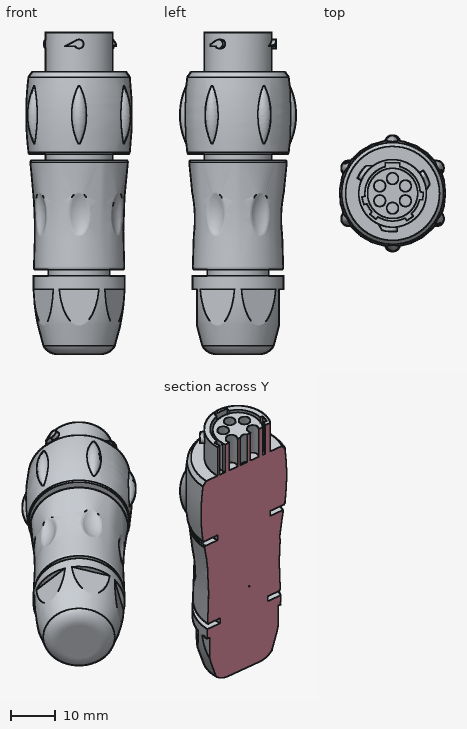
import cadquery as cq
import math

NUT_EDGE_Z = 1.9
NUT_BAND_Z = 14.6
NUT_TOP_Z = 17.6
SLEEVE_BOTTOM_Z = 19.0
SLEEVE_TOP_Z = 43.55
COLLAR_BOTTOM_Z = 44.9
COLLAR_TOP_Z = 63.4
TOTAL_HEIGHT = 72.2
EDGE_BREAK = 0.4
COLLAR_CHAMFER_HEIGHT = 1.2
SLEEVE_BEVEL = 0.2
COLLAR_BEVEL = 0.2

PLUG_RADIUS = 7.6
LOWER_NECK_RADIUS = 6.9
NUT_FLOOR_RADIUS = 4.8
NUT_EDGE_RADIUS = 8.0
NUT_MIDDLE_RADIUS = 9.5
NUT_MIDDLE_Z = 7.95
NUT_RADIUS = 10.25
SLEEVE_BOTTOM_RADIUS = 10.2
SLEEVE_WAIST_RADIUS = 10.0
SLEEVE_WAIST_Z = 28.2
SLEEVE_TOP_RADIUS = 11.0
COLLAR_RADIUS = 11.9
COLLAR_EDGE_RADIUS = 11.4
COLLAR_FACE_RADIUS = 10.55

GRIP_COUNT = 6
FLAT_APOTHEM = 9.25
RIB_TOP_RADIUS = 13.1
RIB_HALF_THICKNESS = 1.7
RIB_HALF_LENGTH = 7.1
RIB_Z = 53.75
DIMPLE_Z = 31.05
DIMPLE_HALF_WIDTH = 2.1
DIMPLE_HALF_LENGTH = 4.4
DIMPLE_DEPTH = 0.8
DIMPLE_RIM_FILLET = 0.9

SOCKET_RADIUS = 6.2
INSERT_RADIUS = 5.6
INSERT_RECESS = 0.3
SOCKET_DEPTH = TOTAL_HEIGHT - COLLAR_TOP_Z
CONTACT_COUNT = 6
CONTACT_RADIUS = 1.3
CONTACT_PITCH_RADIUS = 3.3
KEYWAY_RADIUS = 6.85
WIDE_KEYWAY_WIDTH = 3.3
NARROW_KEYWAY_WIDTH = 1.7
WIDE_KEYWAY_ANGLE = 90
NARROW_KEYWAY_ANGLES = (-5, 194, 230, 305)

LUG_COUNT = 3
LUG_OUTER_RADIUS = 8.6
LUG_ROOT_RADIUS = 7.2
LUG_PIN_RADIUS = 1.0
LUG_Z = 69.6
LUG_TAIL_LENGTH = 3.2
LUG_TAIL_DROP = 0.5
LUG_TIP_SETBACK = 0.8


def around_axis(shape, count):
    """Copies of a shape evenly spaced around the Z axis, joined together."""
    copies = shape
    for i in range(1, count):
        copies = copies.union(shape.rotate((0, 0, 0), (0, 0, 1), i * 360 / count))
    return copies


def turned_body():
    """Cable nut, sleeve, coupling collar and plug as one turned shape."""
    collar_low = COLLAR_BOTTOM_Z + EDGE_BREAK
    collar_high = COLLAR_TOP_Z - COLLAR_CHAMFER_HEIGHT
    collar_middle = (collar_low + collar_high) / 2
    half_profile = (
        cq.Workplane("XZ")
        .lineTo(NUT_FLOOR_RADIUS, 0)
        .tangentArcPoint((NUT_EDGE_RADIUS, NUT_EDGE_Z), relative=False)
        .threePointArc((NUT_MIDDLE_RADIUS, NUT_MIDDLE_Z), (NUT_RADIUS, NUT_BAND_Z))
        .lineTo(NUT_RADIUS, NUT_TOP_Z)
        .lineTo(LOWER_NECK_RADIUS, NUT_TOP_Z)
        .lineTo(LOWER_NECK_RADIUS, SLEEVE_BOTTOM_Z)
        .lineTo(SLEEVE_BOTTOM_RADIUS - SLEEVE_BEVEL, SLEEVE_BOTTOM_Z)
        .lineTo(SLEEVE_BOTTOM_RADIUS, SLEEVE_BOTTOM_Z + EDGE_BREAK)
        .threePointArc(
            (SLEEVE_WAIST_RADIUS, SLEEVE_WAIST_Z),
            (SLEEVE_TOP_RADIUS, SLEEVE_TOP_Z - EDGE_BREAK),
        )
        .lineTo(SLEEVE_TOP_RADIUS - SLEEVE_BEVEL, SLEEVE_TOP_Z)
        .lineTo(PLUG_RADIUS, SLEEVE_TOP_Z)
        .lineTo(PLUG_RADIUS, COLLAR_BOTTOM_Z)
        .lineTo(COLLAR_EDGE_RADIUS - COLLAR_BEVEL, COLLAR_BOTTOM_Z)
        .lineTo(COLLAR_EDGE_RADIUS, collar_low)
        .threePointArc((COLLAR_RADIUS, collar_middle), (COLLAR_EDGE_RADIUS, collar_high))
        .lineTo(COLLAR_FACE_RADIUS, COLLAR_TOP_Z)
        .lineTo(PLUG_RADIUS, COLLAR_TOP_Z)
        .lineTo(PLUG_RADIUS, TOTAL_HEIGHT)
        .lineTo(0, TOTAL_HEIGHT)
        .close()
    )
    return half_profile.revolve(360, (0, 0, 0), (0, 1, 0))


def nut_flats():
    """Material outside the six wrench flats, below the band of the nut."""
    across_flats = 2 * FLAT_APOTHEM
    hexagon_diameter = across_flats / math.cos(math.pi / GRIP_COUNT)
    ring = cq.Workplane("XY").circle(2 * NUT_RADIUS).extrude(NUT_BAND_Z)
    hexagon = cq.Workplane("XY").polygon(GRIP_COUNT, hexagon_diameter).extrude(NUT_BAND_Z)
    return ring.cut(hexagon)


def collar_ribs():
    """Pointed spindles, half sunk in the collar."""
    spindle = (
        cq.Workplane("XZ")
        .moveTo(0, -RIB_HALF_LENGTH)
        .threePointArc((RIB_HALF_THICKNESS, 0), (0, RIB_HALF_LENGTH))
        .close()
        .revolve(360, (0, 0, 0), (0, 1, 0))
        .translate((0, RIB_HALF_THICKNESS - RIB_TOP_RADIUS, RIB_Z))
    )
    return around_axis(spindle, GRIP_COUNT)


def dimple_ellipsoid():
    """Ellipsoid, mostly outside the sleeve, that scoops out the dimple facing -Y."""
    rim_y = math.sqrt(SLEEVE_WAIST_RADIUS ** 2 - DIMPLE_HALF_WIDTH ** 2)
    floor_y = SLEEVE_WAIST_RADIUS - DIMPLE_DEPTH
    rise = rim_y - floor_y
    round_radius = (DIMPLE_HALF_WIDTH ** 2 + rise ** 2) / (2 * rise)
    centre_y = floor_y + round_radius

    waist_fraction = (centre_y - SLEEVE_WAIST_RADIUS) / round_radius
    half_length = DIMPLE_HALF_LENGTH / math.sqrt(1 - waist_fraction ** 2)
    return (
        cq.Workplane("XZ")
        .moveTo(0, -half_length)
        .ellipseArc(round_radius, half_length, -90, 90, startAtCurrent=True)
        .close()
        .revolve(360, (0, 0, 0), (0, 1, 0))
        .translate((0, -centre_y, DIMPLE_Z))
    )


def cut_dimples(body):
    """Cut the finger dimples into the sleeve and round their rims."""
    rim_box = cq.selectors.BoxSelector(
        (-COLLAR_RADIUS, -COLLAR_RADIUS, SLEEVE_BOTTOM_Z + EDGE_BREAK),
        (COLLAR_RADIUS, COLLAR_RADIUS, SLEEVE_TOP_Z - 2 * EDGE_BREAK),
        boundingbox=True,
    )
    ellipsoid = dimple_ellipsoid()
    for i in range(GRIP_COUNT):
        body = body.cut(ellipsoid.rotate((0, 0, 0), (0, 0, 1), i * 360 / GRIP_COUNT))
    return body.edges(rim_box).fillet(DIMPLE_RIM_FILLET)


def keyway(width, angle):
    """Radial slot that widens the socket out to the keyway radius."""
    slot = (
        cq.Workplane("XY", origin=(0, 0, COLLAR_TOP_Z))
        .rect(KEYWAY_RADIUS, width)
        .extrude(SOCKET_DEPTH)
        .translate((KEYWAY_RADIUS / 2, 0, 0))
    )
    return slot.rotate((0, 0, 0), (0, 0, 1), angle)


def socket():
    """Space around the contact insert, with the keyways and the contact holes."""
    floor = cq.Workplane("XY", origin=(0, 0, COLLAR_TOP_Z))
    space = floor.circle(SOCKET_RADIUS).extrude(SOCKET_DEPTH)
    space = space.union(keyway(WIDE_KEYWAY_WIDTH, WIDE_KEYWAY_ANGLE))
    for angle in NARROW_KEYWAY_ANGLES:
        space = space.union(keyway(NARROW_KEYWAY_WIDTH, angle))
    insert = floor.circle(INSERT_RADIUS).extrude(SOCKET_DEPTH - INSERT_RECESS)
    contacts = (
        floor.polarArray(CONTACT_PITCH_RADIUS, 90, 360, CONTACT_COUNT)
        .circle(CONTACT_RADIUS)
        .extrude(SOCKET_DEPTH)
    )
    return space.cut(insert.cut(contacts))


def bayonet_lugs():
    """Round pins with a tail that runs to a point toward -X of the first lug."""
    side = cq.Workplane("XZ", origin=(0, 0, LUG_Z))
    pin = side.circle(LUG_PIN_RADIUS).extrude(2 * PLUG_RADIUS)

    tip_distance = math.hypot(LUG_TAIL_LENGTH, LUG_TAIL_DROP)
    tangent_angle = (
        math.pi
        + math.atan2(LUG_TAIL_DROP, LUG_TAIL_LENGTH)
        - math.acos(LUG_PIN_RADIUS / tip_distance)
    )
    tangent_point = (
        LUG_PIN_RADIUS * math.cos(tangent_angle),
        LUG_PIN_RADIUS * math.sin(tangent_angle),
    )
    tail_outline = [
        (-LUG_TAIL_LENGTH, -LUG_TAIL_DROP),
        tangent_point,
        (0, 0),
        (0, -LUG_TAIL_DROP),
    ]
    tail = side.polyline(tail_outline).close().extrude(2 * PLUG_RADIUS)

    tip_root_y = -math.sqrt(PLUG_RADIUS ** 2 - LUG_TAIL_LENGTH ** 2)
    tip_outer_x = LUG_TIP_SETBACK - LUG_TAIL_LENGTH
    tip_outer_y = -math.sqrt(LUG_OUTER_RADIUS ** 2 - tip_outer_x ** 2)
    plan = (
        cq.Workplane("XY", origin=(0, 0, COLLAR_TOP_Z))
        .polyline([
            (-LUG_TAIL_LENGTH, tip_root_y),
            (tip_outer_x, tip_outer_y),
            (tip_outer_x, -LUG_OUTER_RADIUS),
            (LUG_TAIL_LENGTH, -LUG_OUTER_RADIUS),
            (LUG_TAIL_LENGTH, tip_root_y),
        ])
        .close()
        .extrude(SOCKET_DEPTH)
    )
    shell = (
        cq.Workplane("XY", origin=(0, 0, COLLAR_TOP_Z))
        .circle(LUG_OUTER_RADIUS)
        .circle(LUG_ROOT_RADIUS)
        .extrude(SOCKET_DEPTH)
    )
    lug = pin.union(tail).intersect(plan).intersect(shell)
    return around_axis(lug, LUG_COUNT)


result = (
    cut_dimples(turned_body())
    .cut(nut_flats())
    .union(collar_ribs())
    .union(bayonet_lugs())
    .cut(socket())
)